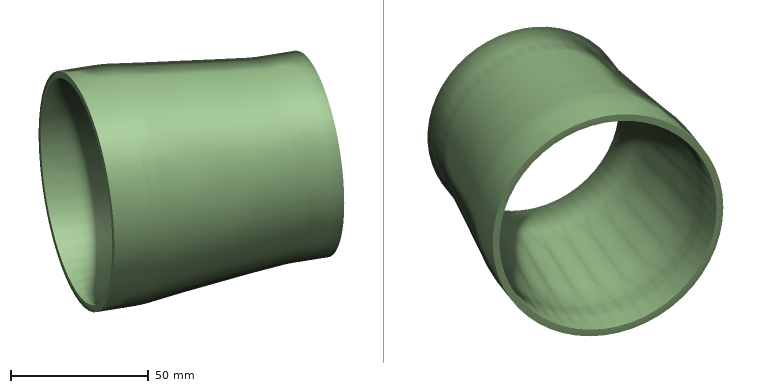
import cadquery as cq
import math

LENGTH = 90.0
LARGE_OUTER_DIAMETER = 88.9
LARGE_INNER_DIAMETER = 83.7
SMALL_OUTER_DIAMETER = 76.1
SMALL_INNER_DIAMETER = 71.5
COLLAR_LENGTH = 13.95
BLEND_TANGENT_LENGTH = 2.6

LARGE_CORNER_Y = COLLAR_LENGTH + BLEND_TANGENT_LENGTH
SMALL_CORNER_Y = LENGTH - LARGE_CORNER_Y


def reducer_solid(large_diameter, small_diameter):
    """Solid of revolution inside one wall: collar, blend, taper, blend, collar."""
    large_radius = large_diameter / 2
    small_radius = small_diameter / 2
    taper_angle = math.atan2(large_radius - small_radius, SMALL_CORNER_Y - LARGE_CORNER_Y)
    radial_step = BLEND_TANGENT_LENGTH * math.sin(taper_angle)
    axial_step = BLEND_TANGENT_LENGTH * math.cos(taper_angle)

    profile = (
        cq.Workplane("XY")
        .lineTo(large_radius, 0)
        .lineTo(large_radius, COLLAR_LENGTH)
        .tangentArcPoint((large_radius - radial_step, LARGE_CORNER_Y + axial_step), relative=False)
        .lineTo(small_radius + radial_step, SMALL_CORNER_Y - axial_step)
        .tangentArcPoint((small_radius, LENGTH - COLLAR_LENGTH), relative=False)
        .lineTo(small_radius, LENGTH)
        .lineTo(0, LENGTH)
        .close()
    )
    return profile.revolve(360, (0, 0, 0), (0, 1, 0))


outer_body = reducer_solid(LARGE_OUTER_DIAMETER, SMALL_OUTER_DIAMETER)
bore = reducer_solid(LARGE_INNER_DIAMETER, SMALL_INNER_DIAMETER)
result = outer_body.cut(bore)